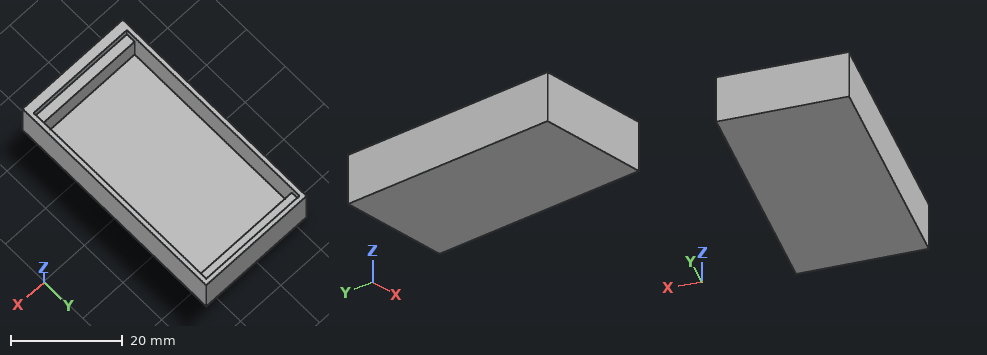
import cadquery as cq

width = 25.0
length = 47.5
height = 10.0

wall = 0.9
front_wall = 2.0
floor = 2.0

ledge_width = 2.0
ledge_depth = 2.0

cavity_width = width - 2 * wall
cavity_length = length - wall - front_wall
cavity_center_y = (front_wall - wall) / 2


def pocket(pocket_length, bottom_z):
    """Cutter spanning the cavity width, from bottom_z up to the rim."""
    return (
        cq.Workplane("XY", origin=(0, cavity_center_y, bottom_z))
        .rect(cavity_width, pocket_length)
        .extrude(height - bottom_z)
    )


block = cq.Workplane("XY").rect(width, length).extrude(height)
upper_pocket = pocket(cavity_length, height - ledge_depth)
lower_pocket = pocket(cavity_length - 2 * ledge_width, floor)

result = block.cut(upper_pocket).cut(lower_pocket)